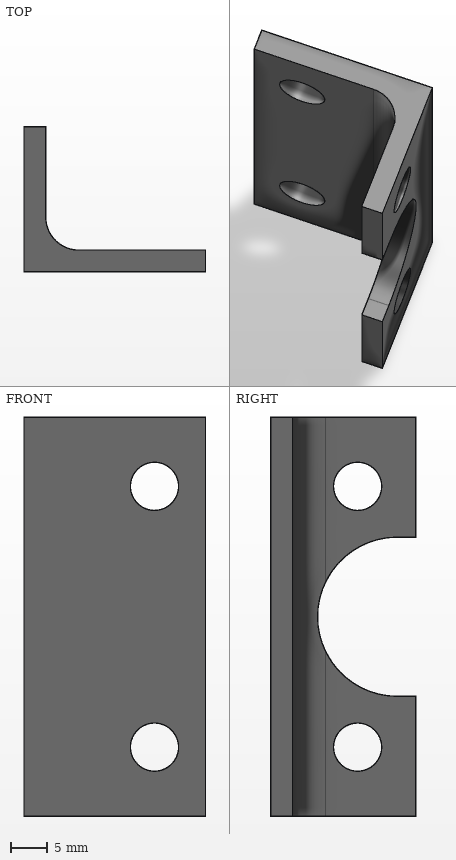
import cadquery as cq

width = 25.0
depth = 20.0
height = 55.0
thickness = 3.0
inner_radius = 4.5

hole_diameter = 6.6
hole_spacing = 35.9
front_hole_x = 18.0
side_hole_y = 12.0

notch_radius = 10.95
notch_center_y = 17.45

mid_height = height / 2
hole_heights = [mid_height - hole_spacing / 2, mid_height + hole_spacing / 2]


def angle_body():
    """L-shaped profile with a rounded inner corner, extruded upward."""
    return (
        cq.Workplane("XY")
        .moveTo(0, 0)
        .lineTo(width, 0)
        .lineTo(width, thickness)
        .lineTo(thickness + inner_radius, thickness)
        .radiusArc((thickness, thickness + inner_radius), inner_radius)
        .lineTo(thickness, depth)
        .lineTo(0, depth)
        .close()
        .extrude(height)
    )


def front_holes():
    """Cylinders running along Y through the front leg."""
    return (
        cq.Workplane("XZ")
        .pushPoints([(front_hole_x, z) for z in hole_heights])
        .circle(hole_diameter / 2)
        .extrude(-depth)
    )


def side_holes():
    """Cylinders running along X through the side leg."""
    return (
        cq.Workplane("YZ")
        .pushPoints([(side_hole_y, z) for z in hole_heights])
        .circle(hole_diameter / 2)
        .extrude(width)
    )


def side_notch():
    """Half-round cutter continued straight out to the free edge."""
    return (
        cq.Workplane("YZ")
        .moveTo(depth, mid_height - notch_radius)
        .lineTo(notch_center_y, mid_height - notch_radius)
        .threePointArc(
            (notch_center_y - notch_radius, mid_height),
            (notch_center_y, mid_height + notch_radius),
        )
        .lineTo(depth, mid_height + notch_radius)
        .close()
        .extrude(width)
    )


result = angle_body().cut(front_holes()).cut(side_holes()).cut(side_notch())